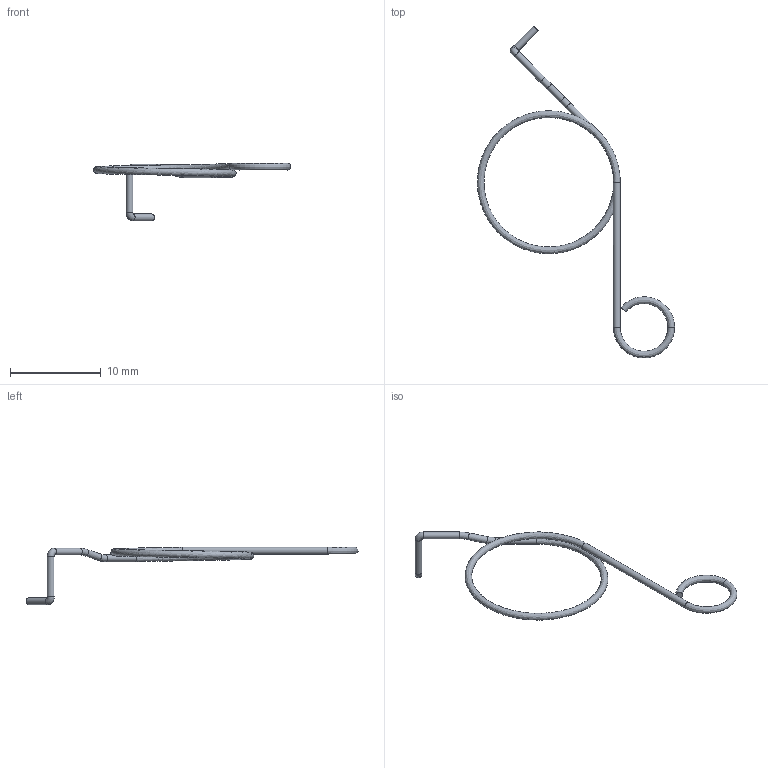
import math

import cadquery as cq

wire_diameter = 0.75

coil_radius = 7.5
turn_gap = 0.005
coil_pitch = wire_diameter + turn_gap
arm_angle = 45.0
coil_turns = 1 + arm_angle / 360
coil_drop = coil_pitch * coil_turns

leg_length = 16.0
eye_radius = 3.0
eye_end_angle = 139.0

arm_length = 13.0
step_start = 5.0
step_end = 8.0
step_rise = wire_diameter
step_bend_radius = 4.0
hook_drop = 5.5
hook_foot = 3.5
hook_bend_radius = 0.5

arm_bottom = -coil_drop
arm_top = arm_bottom + step_rise
hook_bottom = arm_top - hook_drop

outward = cq.Vector(math.cos(math.radians(arm_angle)), math.sin(math.radians(arm_angle)), 0)
along_arm = cq.Vector(-outward.y, outward.x, 0)
coil_exit = outward * coil_radius


def arm_point(distance, height, offset=0.0):
    """Point at a distance along the arm, at a height, offset away from the coil axis."""
    return coil_exit + along_arm * distance + outward * offset + cq.Vector(0, 0, height)


def bent_path(corners, bend_radii):
    """Straight edges through the corners, with a tangent arc at every inner corner."""
    edges = []
    start = corners[0]
    for before, corner, after, radius in zip(corners, corners[1:], corners[2:], bend_radii):
        back = (before - corner).normalized()
        ahead = (after - corner).normalized()
        half_angle = back.getAngle(ahead) / 2
        setback = radius / math.tan(half_angle)
        arc_start = corner + back * setback
        arc_end = corner + ahead * setback
        apex_distance = radius / math.sin(half_angle) - radius
        apex = corner + (back + ahead).normalized() * apex_distance
        edges.append(cq.Edge.makeLine(start, arc_start))
        edges.append(cq.Edge.makeThreePointArc(arc_start, apex, arc_end))
        start = arc_end
    edges.append(cq.Edge.makeLine(start, corners[-1]))
    return edges


def hook_arm_path():
    """Centre line from the hook tip to the coil."""
    corners = [
        arm_point(arm_length, hook_bottom, hook_foot),
        arm_point(arm_length, hook_bottom),
        arm_point(arm_length, arm_top),
        arm_point(step_end, arm_top),
        arm_point(step_start, arm_bottom),
        arm_point(0, arm_bottom),
    ]
    radii = [hook_bend_radius, hook_bend_radius, step_bend_radius, step_bend_radius]
    return bent_path(corners, radii)


def coil_path():
    """Centre line of the coil, climbing clockwise from the arm to the long leg."""
    helix = cq.Wire.makeHelix(coil_pitch, coil_drop, coil_radius, lefthand=True)
    helix = helix.rotate(cq.Vector(), cq.Vector(0, 0, 1), arm_angle)
    return helix.translate(cq.Vector(0, 0, arm_bottom)).Edges()


def leg_and_eye_path():
    """Centre line of the long leg and the eye that curls back towards it."""
    eye_centre = cq.Vector(coil_radius + eye_radius, -leg_length, 0)

    def eye_point(angle):
        turn = math.radians(angle)
        return eye_centre + cq.Vector(math.cos(turn), math.sin(turn), 0) * eye_radius

    leg = cq.Edge.makeLine(cq.Vector(coil_radius, 0, 0), eye_point(180))
    lower_half = cq.Edge.makeThreePointArc(eye_point(180), eye_point(270), eye_point(360))
    eye_middle = eye_point(eye_end_angle / 2)
    upper_part = cq.Edge.makeThreePointArc(eye_point(0), eye_middle, eye_point(eye_end_angle))
    return [leg, lower_half, upper_part]


centre_line = cq.Wire.assembleEdges(hook_arm_path() + coil_path() + leg_and_eye_path())
hook_tip = arm_point(arm_length, hook_bottom, hook_foot)
tip_plane = cq.Plane(origin=hook_tip, xDir=along_arm, normal=-outward)
wire_section = cq.Workplane(tip_plane).circle(wire_diameter / 2)
result = wire_section.sweep(cq.Workplane(centre_line), transition="transformed")